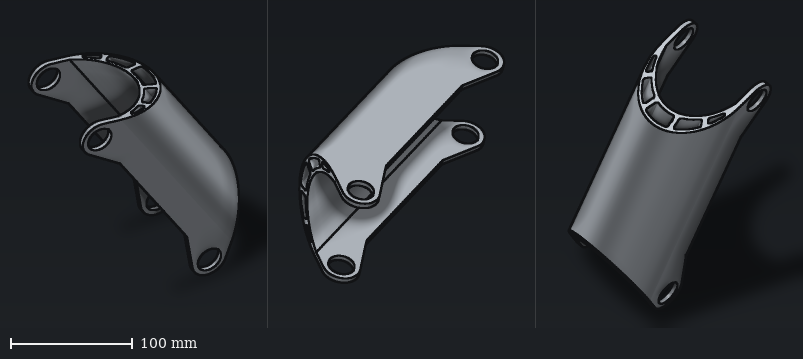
import cadquery as cq
import math

lean_angle = 30
hinge_spacing = 207.7
lug_radius = 16.1
hole_diameter = 21.8

width = 90.0
side_wall = 5.0
crown_wall = 15.0
crown_height = 68.7
inner_edge = -1.3
outer_radius = width / 2
outer_center = crown_height - outer_radius
inner_half_width = outer_radius - side_wall
inner_crown = crown_height - crown_wall
inner_rise = inner_crown - outer_center
inner_radius = (inner_half_width**2 + inner_rise**2) / (2 * inner_rise)
inner_center = inner_crown - inner_radius

end_slope = math.radians(50)
inner_corner_z = 40.0
outer_corner_z = crown_height / math.tan(end_slope) - lug_radius / math.sin(end_slope)

outer_skin = 2.5
inner_skin = 3.0
rib_width = 4.7
rib_angles = (-44, -16, 16, 44)
pocket_bottom = 33.5
pocket_fillet = 1.7
pocket_tip_fillet = 1.0


def tangent_point(corner, side):
    """Point where a line from a (y, z) corner touches the lower lug circle."""
    distance = math.hypot(*corner)
    angle = math.atan2(corner[1], corner[0]) + side * math.acos(lug_radius / distance)
    return lug_radius * math.cos(angle), lug_radius * math.sin(angle)


def opposite(point):
    """Same point at the upper end of the part."""
    return point[0], hinge_spacing - point[1]


def arch_section():
    """U-shaped section, thickest at the crown, running the full length."""
    return (
        cq.Workplane("XY", origin=(0, 0, -lug_radius))
        .moveTo(-outer_radius, -lug_radius)
        .lineTo(-outer_radius, outer_center)
        .threePointArc((0, crown_height), (outer_radius, outer_center))
        .lineTo(outer_radius, -lug_radius)
        .lineTo(inner_half_width, -lug_radius)
        .lineTo(inner_half_width, outer_center)
        .threePointArc((0, inner_crown), (-inner_half_width, outer_center))
        .lineTo(-inner_half_width, -lug_radius)
        .close()
        .extrude(hinge_spacing + 2 * lug_radius)
    )


def side_profile():
    """Side outline with a rounded hinge lug at each end."""
    outer_corner = (crown_height, outer_corner_z)
    inner_corner = (inner_edge, inner_corner_z)
    outer_tangent = tangent_point(outer_corner, -1)
    inner_tangent = tangent_point(inner_corner, 1)
    lean = math.radians(lean_angle)
    lug_tip = (-lug_radius * math.sin(lean), -lug_radius * math.cos(lean))
    return (
        cq.Workplane("YZ")
        .moveTo(*outer_corner)
        .lineTo(*outer_tangent)
        .threePointArc(lug_tip, inner_tangent)
        .lineTo(*inner_corner)
        .lineTo(*opposite(inner_corner))
        .lineTo(*opposite(inner_tangent))
        .threePointArc(opposite(lug_tip), opposite(outer_tangent))
        .lineTo(*opposite(outer_corner))
        .close()
        .extrude(outer_radius, both=True)
    )


def hinge_holes():
    return (
        cq.Workplane("YZ")
        .pushPoints([(0, 0), (0, hinge_spacing)])
        .circle(hole_diameter / 2)
        .extrude(outer_radius, both=True)
    )


def pockets():
    """Five through pockets along the arch, separated by radial ribs."""
    outer_disc = (
        cq.Workplane("XY")
        .center(0, outer_center)
        .circle(outer_radius - outer_skin)
        .extrude(hinge_spacing)
    )
    inner_disc = (
        cq.Workplane("XY")
        .center(0, inner_center)
        .circle(inner_radius + inner_skin)
        .extrude(hinge_spacing)
    )
    crown_side = (
        cq.Workplane("XY")
        .center(0, (crown_height + pocket_bottom) / 2)
        .rect(width, crown_height - pocket_bottom)
        .extrude(hinge_spacing)
    )
    cells = outer_disc.intersect(crown_side).cut(inner_disc)
    for angle in rib_angles:
        rib = (
            cq.Workplane("XY")
            .center(0, crown_height / 2)
            .rect(rib_width, crown_height)
            .extrude(hinge_spacing)
            .rotate((0, 0, 0), (0, 0, 1), angle)
            .translate((0, inner_center, 0))
        )
        cells = cells.cut(rib)
    cells = cells.edges("|Z").edges("<Y").fillet(pocket_tip_fillet)
    large_corners = cq.selectors.BoxSelector(
        (-width, pocket_bottom + 2 * pocket_tip_fillet, 0), (width, crown_height, hinge_spacing)
    )
    return cells.edges("|Z").edges(large_corners).fillet(pocket_fillet)


upright = arch_section().intersect(side_profile()).cut(hinge_holes()).cut(pockets())
result = upright.rotate((0, 0, 0), (1, 0, 0), lean_angle)